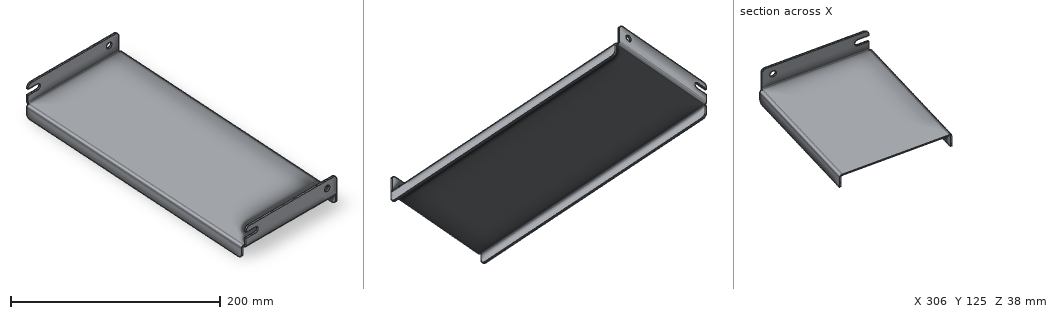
import cadquery as cq

length = 306.0
width = 125.0
height = 38.0

thickness = 2.0
inner_radius = 1.0
outer_radius = inner_radius + thickness

skirt_height = 15.0
corner_radius = 5.0

hole_diameter = 7.0
hole_inset = 12.5
slot_width = 7.3
slot_inset = 12.2
hole_drop = 9.8

panel_top = skirt_height
panel_bottom = panel_top - thickness
panel_length = length - 2 * outer_radius
panel_width = width - 2 * outer_radius


def bent_profile(plane, half_span, panel_outer, panel_inner, tip):
    """Channel section: a flat panel with a bent flange at both ends.

    panel_outer is the panel face on the outside of the bends.
    """
    up = 1 if tip > panel_outer else -1
    flat = half_span - outer_radius
    outer_bend = panel_outer + up * outer_radius
    outside = (
        cq.Workplane(plane)
        .moveTo(-half_span, tip)
        .lineTo(-half_span, outer_bend)
        .radiusArc((-flat, panel_outer), -up * outer_radius)
        .lineTo(flat, panel_outer)
        .radiusArc((half_span, outer_bend), -up * outer_radius)
        .lineTo(half_span, tip)
    )
    inside_face = half_span - thickness
    return (
        outside.lineTo(inside_face, tip)
        .lineTo(inside_face, outer_bend)
        .radiusArc((flat, panel_inner), up * inner_radius)
        .lineTo(-flat, panel_inner)
        .radiusArc((-inside_face, outer_bend), up * inner_radius)
        .lineTo(-inside_face, tip)
        .close()
    )


def end_flange_channel():
    """Panel with the two end flanges bent upward, drilled and slotted."""
    channel = bent_profile("XZ", length / 2, panel_bottom, panel_top, height)
    channel = channel.extrude(panel_width / 2, both=True)
    channel = channel.faces(">Z").edges("|X").fillet(corner_radius)

    hole_y = panel_width / 2 - hole_inset
    slot_y = slot_inset - panel_width / 2
    hole_z = height - hole_drop
    hole = (
        cq.Workplane("YZ")
        .center(hole_y, hole_z)
        .circle(hole_diameter / 2)
        .extrude(length, both=True)
    )
    slot_end = (
        cq.Workplane("YZ")
        .center(slot_y, hole_z)
        .circle(slot_width / 2)
        .extrude(length, both=True)
    )
    slot_mouth = (
        cq.Workplane("YZ")
        .center(slot_y - slot_inset / 2, hole_z)
        .rect(slot_inset, slot_width)
        .extrude(length, both=True)
    )
    return channel.cut(hole).cut(slot_end).cut(slot_mouth)


def skirt_channel():
    """Panel with the two long side flanges bent downward."""
    channel = bent_profile("YZ", width / 2, panel_top, panel_bottom, 0)
    channel = channel.extrude(panel_length / 2, both=True)
    return channel.faces("<Z").edges("|Y").fillet(corner_radius)


result = end_flange_channel().union(skirt_channel())